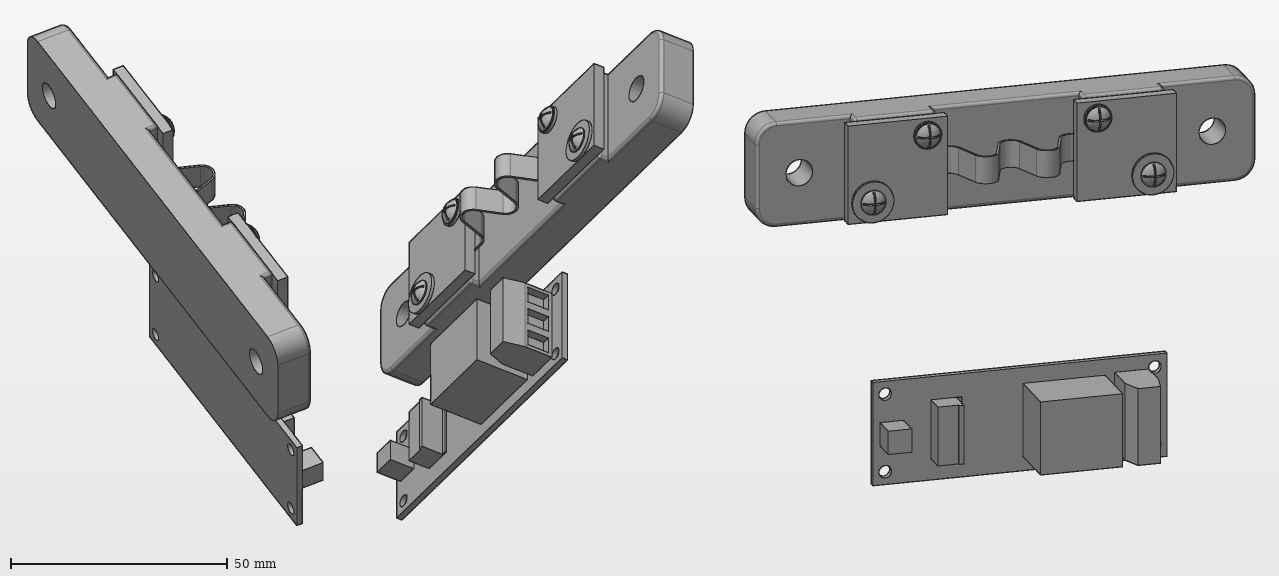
import cadquery as cq
import math

total_height = 87.22
total_depth = 33.92

bar_length = 121.0
bar_height = 25.6
bar_thickness = 8.9
bar_corner_radius = 5.0
edge_radius = 0.8
pick_margin = 0.1
mount_hole_diameter = 6.4
mount_hole_x = 50.0

pad_width = 20.0
pad_x = 27.7
pad_top = 11.3
plate_size = 24.1
plate_thickness = 2.7
plate_top = pad_top + plate_thickness

outer_screw = (6.2, -7.0, 10.0)
inner_screw = (-7.1, 8.0, 6.6)
washer_thickness = 0.75
head_diameter = 6.0
head_rim_height = 0.3
dome_height = 1.4
cross_slot_width = 0.4
cross_slot_depth = 1.1

strip_width = 6.6
strip_thickness = 0.5
strip_low = 10.15
strip_crest = 19.85
strip_rise = strip_crest - strip_low
strip_half_pitch = 7.4
strip_half_waves = 4
strip_slope = math.radians(70.0)
strip_embed = 1.0

board_length = 71.2
board_height = 25.3
board_thickness = 1.5
board_back = 18.6
board_front = board_back + board_thickness
board_z = bar_height / 2 - total_height + board_height / 2
board_hole_diameter = 3.0
board_hole_x = 32.65
board_hole_z = 9.5

component_z_offset = -0.2
component_z = board_z + component_z_offset

terminal_left = -31.2
terminal_width = 8.3
terminal_length = 18.8
terminal_height = 12.7
terminal_left_taper = (1.1, 5.3)
terminal_right_taper = (1.75, 4.4)
wire_port_count = 3
wire_port_pitch = 6.3
wire_port_height = 4.3
wire_port_width = 5.6
wire_port_base = 1.0
wire_port_depth = 2.0

relay_left = -20.6
relay_width = 19.9
relay_length = 17.9
relay_height = total_depth - board_front
connector_left = 15.4
connector_width = 6.2
connector_length = 14.4
connector_height = 5.5
connector_lip_width = 1.2
connector_lip_height = 0.4
connector_foot_width = 1.2
connector_foot_height = 0.3
button_left = 28.2
button_size = 5.7
button_height = 6.4


def block(x_left, width, y_back, depth, z_centre, height):
    """Box given by its left side, back face and centre height."""
    solid = cq.Workplane("XY").box(width, depth, height, centered=(False, False, True))
    return solid.translate((x_left, y_back, z_centre))


def disc(x, z, y_back, diameter, depth):
    """Cylinder whose axis runs along Y, starting at y_back."""
    return cq.Workplane("XZ", origin=(x, y_back, z)).circle(diameter / 2).extrude(-depth)


def bar_with_pads():
    """Bar with two raised pads; the outer edges toward +Y are rounded."""
    bar = block(-bar_length / 2, bar_length, 0, bar_thickness, 0, bar_height)
    bar = bar.edges("|Y").fillet(bar_corner_radius)
    for side in (-1, 1):
        left = side * pad_x - pad_width / 2
        bar = bar.union(block(left, pad_width, 0, pad_top, 0, bar_height))
    roots = cq.selectors.BoxSelector(
        (-pad_x - pad_width, bar_thickness - pick_margin, -bar_height / 2 + pick_margin),
        (pad_x + pad_width, bar_thickness + pick_margin, bar_height / 2 - pick_margin),
    )
    front = cq.selectors.BoxSelector(
        (-bar_length, bar_thickness - pick_margin, -bar_height),
        (bar_length, pad_top + pick_margin, bar_height),
    )
    bar = bar.edges(front - roots).fillet(edge_radius)
    for side in (-1, 1):
        bar = bar.cut(disc(side * mount_hole_x, 0, 0, mount_hole_diameter, bar_thickness))
    return bar


def screw(x, z, washer_diameter):
    """Washer and domed head with a cross slot, seated on a clamp plate."""
    washer = disc(x, z, plate_top, washer_diameter, washer_thickness)
    rim_base = plate_top + washer_thickness
    dome_base = rim_base + head_rim_height
    dome_top = dome_base + dome_height
    radius = head_diameter / 2
    dome_radius = (radius**2 + dome_height**2) / (2 * dome_height)
    rim_and_dome = disc(x, z, rim_base, head_diameter, head_rim_height + dome_height)
    ball = cq.Workplane("XY").sphere(dome_radius).translate((x, dome_top - dome_radius, z))
    head = rim_and_dome.intersect(ball)
    for width, height in ((head_diameter, cross_slot_width), (cross_slot_width, head_diameter)):
        slot_base = dome_top - cross_slot_depth
        head = head.cut(block(x - width / 2, width, slot_base, cross_slot_depth, z, height))
    return washer.union(head)


def clamp(side):
    """Square clamp plate with its two screws, over one pad."""
    centre = side * pad_x
    plate = block(centre - plate_size / 2, plate_size, pad_top, plate_thickness, 0, plate_size)
    for outward, z, washer_diameter in (outer_screw, inner_screw):
        plate = plate.union(screw(centre + side * outward, z, washer_diameter))
    return plate


def spring_strip():
    """Ribbon of arcs and straight flanks, its flat ends set into the pads."""
    sine = math.sin(strip_slope)
    cosine = math.cos(strip_slope)
    bend = (strip_half_pitch * sine - strip_rise * cosine) / (2 * (1 - cosine))
    half_sine = math.sin(strip_slope / 2)
    half_cosine = math.cos(strip_slope / 2)
    flat_end = pad_x - pad_width / 2 + strip_embed
    wave_start = -strip_half_waves * strip_half_pitch / 2

    path = cq.Workplane("XY").moveTo(-flat_end, strip_low).lineTo(wave_start, strip_low)
    for index in range(strip_half_waves):
        x0 = wave_start + index * strip_half_pitch
        x1 = x0 + strip_half_pitch
        up = 1 if index % 2 == 0 else -1
        y0 = strip_low if up == 1 else strip_crest
        y1 = y0 + up * strip_rise
        path = path.threePointArc(
            (x0 + bend * half_sine, y0 + up * bend * (1 - half_cosine)),
            (x0 + bend * sine, y0 + up * bend * (1 - cosine)),
        )
        path = path.lineTo(x1 - bend * sine, y1 - up * bend * (1 - cosine))
        path = path.threePointArc(
            (x1 - bend * half_sine, y1 - up * bend * (1 - half_cosine)),
            (x1, y1),
        )
    path = path.lineTo(flat_end, strip_low)
    section = cq.Workplane("YZ", origin=(-flat_end, strip_low, 0)).rect(strip_thickness, strip_width)
    return section.sweep(path)


def make_sensor_bar():
    body = bar_with_pads()
    for side in (-1, 1):
        body = body.union(clamp(side))
    return body.union(spring_strip())


def terminal_block():
    """Tapered block with a row of wire ports in its -X side."""
    right = terminal_left + terminal_width
    top = board_front + terminal_height
    left_in, left_down = terminal_left_taper
    right_in, right_down = terminal_right_taper
    profile = cq.Workplane("XY", origin=(0, 0, component_z - terminal_length / 2)).polyline([
        (terminal_left, board_front),
        (terminal_left, top - left_down),
        (terminal_left + left_in, top),
        (right - right_in, top),
        (right, top - right_down),
        (right, board_front),
    ])
    body = profile.close().extrude(terminal_length)
    port_back = board_front + wire_port_base
    for index in range(wire_port_count):
        z = component_z + (index - (wire_port_count - 1) / 2) * wire_port_pitch
        port = block(terminal_left, wire_port_depth, port_back, wire_port_width, z, wire_port_height)
        body = body.cut(port)
    return body


def connector():
    """Small connector with a lip on top and a thin foot, both along its -X side."""
    left = connector_left
    top = board_front + connector_height
    foot_left = left - connector_foot_width
    length = connector_length
    body = block(left, connector_width, board_front, connector_height, component_z, length)
    lip = block(left, connector_lip_width, top, connector_lip_height, component_z, length)
    foot = block(foot_left, connector_foot_width, board_front, connector_foot_height, component_z, length)
    return body.union(lip).union(foot)


def make_circuit_board():
    board = block(-board_length / 2, board_length, board_back, board_thickness, board_z, board_height)
    for x_side in (-1, 1):
        for z_side in (-1, 1):
            z = board_z + z_side * board_hole_z
            hole = disc(x_side * board_hole_x, z, board_back, board_hole_diameter, board_thickness)
            board = board.cut(hole)
    relay = block(relay_left, relay_width, board_front, relay_height, component_z, relay_length)
    button = block(button_left, button_size, board_front, button_height, component_z, button_size)
    return board.union(terminal_block()).union(relay).union(connector()).union(button)


sensor_bar = make_sensor_bar()
circuit_board = make_circuit_board()
result = cq.Compound.makeCompound([sensor_bar.val(), circuit_board.val()])